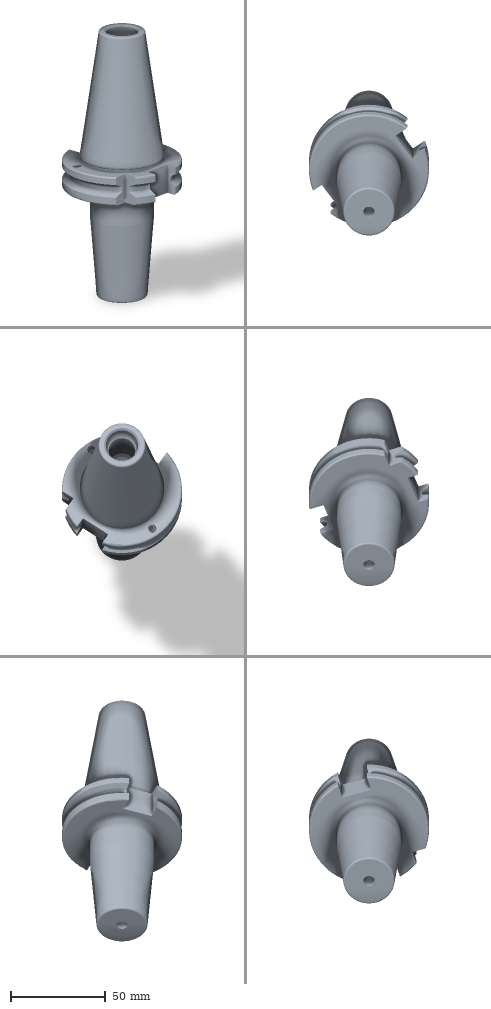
import cadquery as cq
import math


GAUGE_RADIUS = 44.45 / 2
TAPER_LENGTH = 68.4
TAPER_SLOPE = 7 / 48
TAPER_TIP_FILLET = 1.0
COLLAR_TOP_Z = -1.0
COLLAR_RADIUS = 22.1
COLLAR_RELIEF = 0.3
COLLAR_FILLET = 0.95

FLANGE_RADIUS = 63.55 / 2
FLANGE_TOP_Z = -3.2
FLANGE_BOTTOM_Z = -19.1
FLANGE_EDGE_FILLET = 1.0
GROOVE_CENTER_Z = -11.0
GROOVE_MOUTH_WIDTH = 7.2
GROOVE_FLOOR_RADIUS = 56.25 / 2
GROOVE_HALF_ANGLE = math.radians(30)
GROOVE_CORNER_FILLET = 0.4

SLOT_WIDTH = 16.1
LEFT_SLOT_FLOOR_X = -22.8
RIGHT_SLOT_FLOOR_X = 25.0
NOTCH_DISTANCE = 18.5

SHANK_RADIUS = 17.0
SHANK_TOP_FILLET = 3.0
SHANK_TIP_RADIUS = 13.5
SHANK_CONE_ANGLE = math.radians(4.5)
SHANK_BOTTOM_Z = -80.0
SHANK_TIP_FILLET = 1.0

BORE_RADIUS = 8.5
BORE_MOUTH_CHAMFER = 0.95
RELIEF_RADIUS = 9.3
RELIEF_START_DEPTH = 5.75
RELIEF_END_DEPTH = 8.2
THREAD_RADIUS = 7.1
THREAD_DEPTH = 34.0
BORE_FLOOR_RADIUS = 5.66
COOLANT_RADIUS = 3.0

PORT_ANGLES = (70, 250)
PORT_CENTER_RADIUS = 27.2
PORT_DIAMETER = 4.3
PORT_TILT = 30
PORT_DEPTH = 2.2
SOCKET_DIAMETER = 2.9
SOCKET_DEPTH = 2.0


def revolve_profile(profile):
    """Close a YZ half section and turn it about the Z axis."""
    return profile.close().revolve(360, (0, 0, 0), (0, 1, 0))


def make_taper():
    tip_radius = GAUGE_RADIUS - TAPER_LENGTH * TAPER_SLOPE
    base_radius = GAUGE_RADIUS - COLLAR_TOP_Z * TAPER_SLOPE
    taper = revolve_profile(
        cq.Workplane("YZ")
        .moveTo(0, TAPER_LENGTH)
        .lineTo(tip_radius, TAPER_LENGTH)
        .lineTo(base_radius, COLLAR_TOP_Z)
        .lineTo(0, COLLAR_TOP_Z)
    )
    return taper.faces(">Z").edges().fillet(TAPER_TIP_FILLET)


def make_collar():
    """Short neck with a small undercut that flares into the top face of the flange."""
    neck_radius = COLLAR_RADIUS - COLLAR_RELIEF
    fillet_top_z = FLANGE_TOP_Z + COLLAR_FILLET
    return revolve_profile(
        cq.Workplane("YZ")
        .moveTo(0, COLLAR_TOP_Z)
        .lineTo(COLLAR_RADIUS, COLLAR_TOP_Z)
        .lineTo(COLLAR_RADIUS, fillet_top_z + COLLAR_RELIEF)
        .lineTo(neck_radius, fillet_top_z)
        .radiusArc((neck_radius + COLLAR_FILLET, FLANGE_TOP_Z), -COLLAR_FILLET)
        .lineTo(0, FLANGE_TOP_Z)
    )


def make_flange():
    height = FLANGE_TOP_Z - FLANGE_BOTTOM_Z
    disc = cq.Workplane("XY").workplane(offset=FLANGE_BOTTOM_Z).circle(FLANGE_RADIUS).extrude(height)
    disc = disc.edges().fillet(FLANGE_EDGE_FILLET)
    mouth_half = GROOVE_MOUTH_WIDTH / 2
    floor_half = mouth_half - (FLANGE_RADIUS - GROOVE_FLOOR_RADIUS) * math.tan(GROOVE_HALF_ANGLE)
    groove = revolve_profile(
        cq.Workplane("YZ")
        .moveTo(FLANGE_RADIUS, GROOVE_CENTER_Z + mouth_half)
        .lineTo(GROOVE_FLOOR_RADIUS, GROOVE_CENTER_Z + floor_half)
        .lineTo(GROOVE_FLOOR_RADIUS, GROOVE_CENTER_Z - floor_half)
        .lineTo(FLANGE_RADIUS, GROOVE_CENTER_Z - mouth_half)
    )
    inner_corners = cq.selectors.RadiusNthSelector(0)
    groove = groove.edges("%CIRCLE").edges(inner_corners).fillet(GROOVE_CORNER_FILLET)
    return disc.cut(groove)


def flange_cutter(x_min, x_max, y_min, y_max):
    """Block spanning the full flange thickness."""
    return (
        cq.Workplane("XY")
        .workplane(offset=FLANGE_BOTTOM_Z)
        .center((x_min + x_max) / 2, (y_min + y_max) / 2)
        .rect(x_max - x_min, y_max - y_min)
        .extrude(FLANGE_TOP_Z - FLANGE_BOTTOM_Z)
    )


def cut_slots_and_notch(flange):
    half_slot = SLOT_WIDTH / 2
    left_slot = flange_cutter(-FLANGE_RADIUS, LEFT_SLOT_FLOOR_X, -half_slot, half_slot)
    right_slot = flange_cutter(RIGHT_SLOT_FLOOR_X, FLANGE_RADIUS, -half_slot, half_slot)
    notch = flange_cutter(NOTCH_DISTANCE, FLANGE_RADIUS, -FLANGE_RADIUS, -NOTCH_DISTANCE)
    return flange.cut(left_slot).cut(right_slot).cut(notch)


def make_shank():
    cone_length = (SHANK_RADIUS - SHANK_TIP_RADIUS) / math.tan(SHANK_CONE_ANGLE)
    shank = revolve_profile(
        cq.Workplane("YZ")
        .moveTo(0, FLANGE_BOTTOM_Z)
        .lineTo(SHANK_RADIUS + SHANK_TOP_FILLET, FLANGE_BOTTOM_Z)
        .radiusArc((SHANK_RADIUS, FLANGE_BOTTOM_Z - SHANK_TOP_FILLET), -SHANK_TOP_FILLET)
        .lineTo(SHANK_RADIUS, SHANK_BOTTOM_Z + cone_length)
        .lineTo(SHANK_TIP_RADIUS, SHANK_BOTTOM_Z)
        .lineTo(0, SHANK_BOTTOM_Z)
    )
    return shank.faces("<Z").edges().fillet(SHANK_TIP_FILLET)


def make_bore():
    """Stepped bore from the top end, ending in a coolant hole through the shank."""
    top = TAPER_LENGTH
    thread_start_depth = RELIEF_END_DEPTH + BORE_RADIUS - THREAD_RADIUS
    floor_depth = THREAD_DEPTH + THREAD_RADIUS - BORE_FLOOR_RADIUS
    return revolve_profile(
        cq.Workplane("YZ")
        .moveTo(0, top)
        .lineTo(BORE_RADIUS + BORE_MOUTH_CHAMFER, top)
        .lineTo(BORE_RADIUS, top - BORE_MOUTH_CHAMFER)
        .lineTo(BORE_RADIUS, top - RELIEF_START_DEPTH)
        .lineTo(RELIEF_RADIUS, top - RELIEF_START_DEPTH)
        .lineTo(RELIEF_RADIUS, top - RELIEF_END_DEPTH)
        .lineTo(BORE_RADIUS, top - RELIEF_END_DEPTH)
        .lineTo(THREAD_RADIUS, top - thread_start_depth)
        .lineTo(THREAD_RADIUS, top - THREAD_DEPTH)
        .lineTo(BORE_FLOOR_RADIUS, top - floor_depth)
        .lineTo(COOLANT_RADIUS, top - floor_depth)
        .lineTo(COOLANT_RADIUS, SHANK_BOTTOM_Z)
        .lineTo(0, SHANK_BOTTOM_Z)
    )


def make_port(angle):
    """Tilted port leaning outward at its mouth, with a hexagon socket in its floor."""
    overshoot = PORT_DIAMETER
    shaft = cq.Workplane("XY").workplane(offset=-PORT_DEPTH).circle(PORT_DIAMETER / 2)
    shaft = shaft.extrude(PORT_DEPTH + overshoot)
    socket = cq.Workplane("XY").workplane(offset=-PORT_DEPTH).polygon(6, SOCKET_DIAMETER)
    socket = socket.extrude(-SOCKET_DEPTH)
    port = shaft.union(socket).rotate((0, 0, 0), (0, 1, 0), PORT_TILT)
    port = port.translate((PORT_CENTER_RADIUS, 0, FLANGE_TOP_Z))
    return port.rotate((0, 0, 0), (0, 0, 1), angle)


def make_holder():
    flange = cut_slots_and_notch(make_flange())
    for angle in PORT_ANGLES:
        flange = flange.cut(make_port(angle))
    body = flange.union(make_collar()).union(make_taper()).union(make_shank())
    return body.cut(make_bore())


result = make_holder()